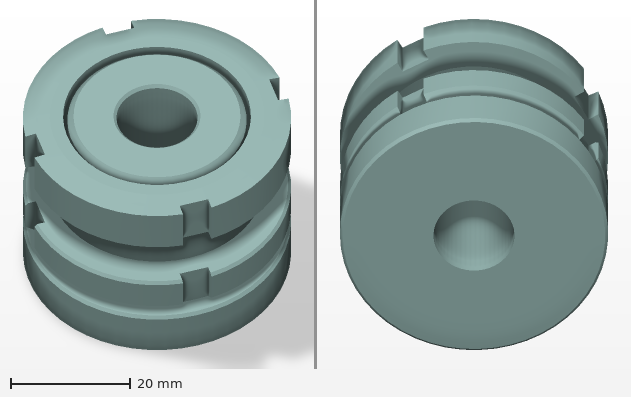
import cadquery as cq
import math

outer_radius = 22.5
base_height = 8.5
ring_top = 2 * base_height
total_height = 4 * base_height
edge_chamfer = 0.5

bore_radius = 6.8
bore_chamfer = 0.5

seat_radius = 35.1
carrier_rim_bottom = 11.35
seat_center_z = carrier_rim_bottom + math.sqrt(seat_radius**2 - outer_radius**2)
seat_bottom_z = seat_center_z - seat_radius

post_radius = 15.05
post_chamfer = 1.05

nut_bore_radius = 15.75
neck_radius = 18.0
flange_bottom = 3 * base_height
flange_taper_height = 0.4

slot_count = 4
slot_width = 5.0
slot_depth = 2.0


def seat_z(radius):
    """Height of the spherical seat at a given radius."""
    return seat_center_z - math.sqrt(seat_radius**2 - radius**2)


def seat_radius_at(height):
    """Radius at which the spherical seat reaches a given height."""
    return math.sqrt(seat_radius**2 - (seat_center_z - height)**2)


def cut_wrench_slots(body, bottom, top):
    """Cut evenly spaced slots into the outer rim between two heights."""
    for index in range(slot_count):
        slot = (
            cq.Workplane("XY", origin=(0, 0, bottom))
            .center(outer_radius, 0)
            .rect(2 * slot_depth, slot_width)
            .extrude(top - bottom)
            .rotate((0, 0, 0), (0, 0, 1), index * 360 / slot_count)
        )
        body = body.cut(slot)
    return body


def make_base():
    """Round foot with a spherical dish in its top and a central bore."""
    dish_radius = seat_radius_at(base_height)
    middle_radius = (bore_radius + dish_radius) / 2
    return (
        cq.Workplane("XZ")
        .moveTo(bore_radius, 0)
        .lineTo(outer_radius - edge_chamfer, 0)
        .lineTo(outer_radius, edge_chamfer)
        .lineTo(outer_radius, base_height - edge_chamfer)
        .lineTo(outer_radius - edge_chamfer, base_height)
        .lineTo(dish_radius, base_height)
        .threePointArc((middle_radius, seat_z(middle_radius)), (bore_radius, seat_z(bore_radius)))
        .close()
        .revolve(360, (0, 0, 0), (0, 1, 0))
    )


def make_carrier():
    """Slotted ring with a spherical underside and a hollow post on top."""
    middle_radius = (bore_radius + outer_radius) / 2
    body = (
        cq.Workplane("XZ")
        .moveTo(bore_radius, seat_z(bore_radius))
        .threePointArc((middle_radius, seat_z(middle_radius)), (outer_radius, carrier_rim_bottom))
        .lineTo(outer_radius, ring_top - edge_chamfer)
        .lineTo(outer_radius - edge_chamfer, ring_top)
        .lineTo(post_radius, ring_top)
        .lineTo(post_radius, total_height - post_chamfer)
        .lineTo(post_radius - post_chamfer, total_height)
        .lineTo(bore_radius + bore_chamfer, total_height)
        .lineTo(bore_radius, total_height - bore_chamfer)
        .close()
        .revolve(360, (0, 0, 0), (0, 1, 0))
    )
    return cut_wrench_slots(body, seat_bottom_z, ring_top)


def make_nut():
    """Slotted flange, tapered on both faces, with a neck standing on the carrier."""
    body = (
        cq.Workplane("XZ")
        .moveTo(nut_bore_radius, ring_top)
        .lineTo(neck_radius - edge_chamfer, ring_top)
        .lineTo(neck_radius, ring_top + edge_chamfer)
        .lineTo(neck_radius, flange_bottom)
        .lineTo(outer_radius, flange_bottom + flange_taper_height)
        .lineTo(outer_radius, total_height - flange_taper_height)
        .lineTo(neck_radius, total_height)
        .lineTo(nut_bore_radius, total_height)
        .close()
        .revolve(360, (0, 0, 0), (0, 1, 0))
    )
    return cut_wrench_slots(body, flange_bottom, total_height)


base = make_base()
carrier = make_carrier()
nut = make_nut()

result = cq.Compound.makeCompound([base.val(), carrier.val(), nut.val()])